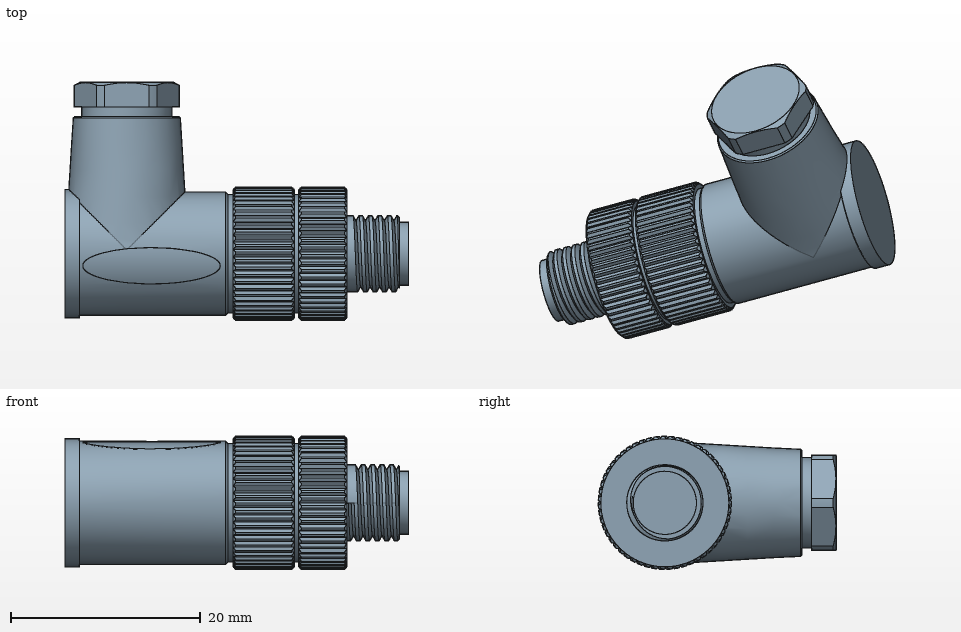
import cadquery as cq
import math


FLANGE_END = 1.52
BODY_END = 17.15
RING_A_START, RING_A_END = 17.7, 24.18
RING_B_START, RING_B_END = 24.6, 29.72
THREAD_END = 35.22
TOTAL_LENGTH = 36.2

FLANGE_RADIUS = 6.77
BODY_RADIUS = 6.5
NECK_RADIUS = 6.25
RING_RADIUS = 7.02
THREAD_RADIUS = 4.02
NOSE_RADIUS = 3.33
BODY_CHAMFER = 0.25

KNURL_COUNT = 55
KNURL_DEPTH = 0.3
KNURL_OVERCUT = 0.07
RING_CHAMFER = 0.3
RING_A_PHASE = 1.1
RING_B_PHASE = 3.3

FIVE_PITCHES = 5.0
THREAD_PITCH = FIVE_PITCHES / 5
THREAD_DEPTH = 0.55
THREAD_OVERCUT = 0.07
THREAD_END_CHAMFER = 0.18
THREAD_START = 30.15
THREAD_FLANK_ANGLE = 30

BRANCH_X = BODY_RADIUS
SLEEVE_END = 14.45
SLEEVE_TAPER = 3.5
SLEEVE_CHAMFER = 0.15
BRANCH_NECK_RADIUS = 4.78
NUT_START, NUT_END = 15.45, 18.05
NUT_ACROSS_FLATS = 10.03
NUT_CORNER_RADIUS = 5.55
NUT_CHAMFER_HEIGHT = 0.33
NUT_FACE_RADIUS = 4.92

RECESS_X, RECESS_Y = 9.12, -1.25
RECESS_HALF_LENGTH, RECESS_HALF_WIDTH = 7.25, 1.92
RECESS_DEPTH = 0.1


def rod(start, end, radius):
    """Cylinder on the main axis."""
    return cq.Workplane("YZ", origin=(start, 0, 0)).circle(radius).extrude(end - start)


def branch_plane(y):
    """Plane across the branch axis, facing +Y."""
    return cq.Workplane(cq.Plane(origin=(BRANCH_X, y, 0), xDir=(1, 0, 0), normal=(0, 1, 0)))


def housing():
    """Body and branch sleeve with the recess cut through their joint."""
    body = rod(0, BODY_END, BODY_RADIUS).faces(">X").chamfer(BODY_CHAMFER)
    return body.union(sleeve()).cut(recess())


def recess():
    """Elliptical pocket whose floor is concentric with the body."""
    ellipse = (
        cq.Workplane("XY", origin=(RECESS_X, RECESS_Y, 0))
        .ellipse(RECESS_HALF_LENGTH, RECESS_HALF_WIDTH)
        .extrude(RING_RADIUS)
    )
    return ellipse.cut(rod(0, BODY_END, BODY_RADIUS - RECESS_DEPTH))


def knurled_ring(start, end, phase):
    """Chamfered ring with V-grooves along its rim; phase is in degrees from +Y."""
    blank = rod(start, end, RING_RADIUS).edges().chamfer(RING_CHAMFER)
    half_width = KNURL_DEPTH + KNURL_OVERCUT
    outer = RING_RADIUS + KNURL_OVERCUT
    groove = (
        cq.Workplane("YZ", origin=(start, 0, 0))
        .polyline([(RING_RADIUS - KNURL_DEPTH, 0), (outer, half_width), (outer, -half_width)])
        .close()
        .extrude(end - start)
        .val()
    )
    pitch_angle = 360 / KNURL_COUNT
    grooves = []
    for index in range(KNURL_COUNT):
        angle = phase + index * pitch_angle
        grooves.append(groove.rotate(cq.Vector(), cq.Vector(1, 0, 0), angle))
    return blank.cut(cq.Compound.makeCompound(grooves))


def threaded_spigot():
    """Spigot cut around a vertical axis, with its groove starting at height zero, then laid along X."""
    base = RING_B_END - THREAD_START
    end = THREAD_END - THREAD_START
    root = THREAD_RADIUS - THREAD_DEPTH
    crest = THREAD_RADIUS + THREAD_OVERCUT
    half_width = (crest - root) * math.tan(math.radians(THREAD_FLANK_ANGLE))
    helix = cq.Wire.makeHelix(THREAD_PITCH, end + THREAD_PITCH, root)
    groove = (
        cq.Workplane("XZ")
        .polyline([(root, 0), (crest, half_width), (crest, -half_width)])
        .close()
        .sweep(cq.Workplane(helix), isFrenet=True)
    )
    foot = cq.Workplane("XY", origin=(0, 0, base))
    blank = foot.circle(THREAD_RADIUS).extrude(end + 2 * THREAD_PITCH - base)
    envelope = (
        foot.circle(crest)
        .extrude(end - base)
        .faces(">Z")
        .chamfer(THREAD_END_CHAMFER + THREAD_OVERCUT)
    )
    return (
        blank.cut(groove)
        .intersect(envelope)
        .rotate((0, 0, 0), (0, 1, 0), 90)
        .rotate((0, 0, 0), (1, 0, 0), -90)
        .translate((THREAD_START, 0, 0))
    )


def sleeve():
    """Tapered sleeve sharing an inscribed sphere with the body, which gives a mitred joint."""
    taper = math.radians(SLEEVE_TAPER)
    base_y = BODY_RADIUS * math.sin(taper)
    base_radius = BODY_RADIUS * math.cos(taper)
    end_radius = base_radius - (SLEEVE_END - base_y) * math.tan(taper)
    return (
        cq.Workplane("XY")
        .polyline([(0, base_y), (base_radius, base_y), (end_radius, SLEEVE_END), (0, SLEEVE_END)])
        .close()
        .revolve(360, (0, 0, 0), (0, 1, 0))
        .faces(">Y")
        .chamfer(SLEEVE_CHAMFER)
        .translate((BRANCH_X, 0, 0))
    )


def hex_nut():
    """Hexagon with two corners along X, turned down at its corners and outer face."""
    height = NUT_END - NUT_START
    corner_diameter = NUT_ACROSS_FLATS / math.cos(math.radians(30))
    hexagon = branch_plane(NUT_START).polygon(6, corner_diameter).extrude(height)
    turned = (
        branch_plane(NUT_START)
        .circle(NUT_CORNER_RADIUS)
        .extrude(height)
        .faces(">Y")
        .chamfer(NUT_CHAMFER_HEIGHT, NUT_CORNER_RADIUS - NUT_FACE_RADIUS)
    )
    return hexagon.intersect(turned)


flange = rod(0, FLANGE_END, FLANGE_RADIUS)
main_neck = rod(FLANGE_END, RING_B_END, NECK_RADIUS)
branch_neck = branch_plane(BODY_RADIUS).circle(BRANCH_NECK_RADIUS).extrude(NUT_START - BODY_RADIUS)
nose = rod(RING_B_START, TOTAL_LENGTH, NOSE_RADIUS)

result = (
    housing()
    .union(flange)
    .union(main_neck)
    .union(knurled_ring(RING_A_START, RING_A_END, RING_A_PHASE))
    .union(knurled_ring(RING_B_START, RING_B_END, RING_B_PHASE))
    .union(threaded_spigot())
    .union(nose)
    .union(branch_neck)
    .union(hex_nut())
)